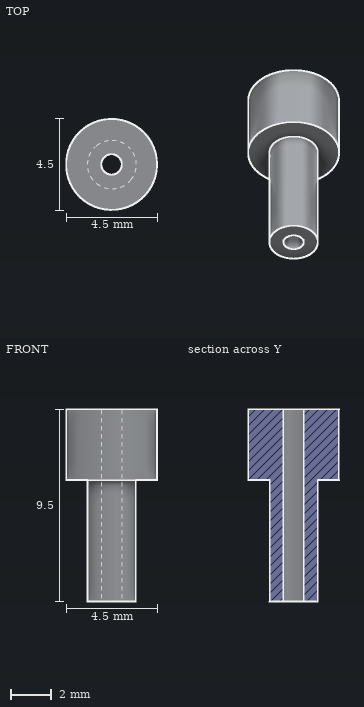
import cadquery as cq

head_diameter = 4.5
head_height = 3.5
shank_diameter = 2.4
shank_length = 6.0
bore_diameter = 1.0

total_length = shank_length + head_height


def cylinder(diameter, height, base_z):
    """Upright cylinder on the Z axis, starting at base_z."""
    return cq.Workplane("XY").workplane(offset=base_z).circle(diameter / 2).extrude(height)


shank = cylinder(shank_diameter, shank_length, 0)
head = cylinder(head_diameter, head_height, shank_length)

bore = cylinder(bore_diameter, total_length, 0)

result = shank.union(head).cut(bore)